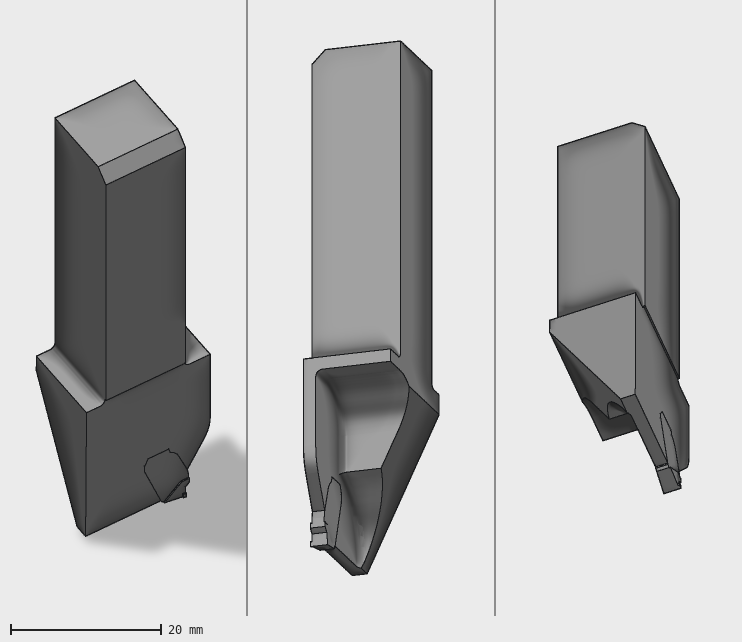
import cadquery as cq
import math


total_height = 69.85
shank_width = 12.5
shank_depth = 12.65
shank_chamfer = 1.9
shoulder_fillet = 0.85

head_width = 12.3
shoulder_z = 25.1
slant_top_z = 22.3
head_bottom_z = 1.05
slant_bottom_x = 10.2
front_top_y = -2.9
front_bottom_y = -3.1
back_y = 16.7
back_slope_z = 10.8
back_slope_end = (13.05, 4.75)
back_blend_radius = 7.0
nose_bottom_y = 8.95

floor_x = 10.55
pocket_fillet = 1.0
pocket_top_z = 23.3
pocket_side_y = 6.6
corner_radius = shank_depth - pocket_side_y
pocket_step_z = 12.15
lower_arc_end_y = -0.85
margin = 3.5

tip_overhang = 0.2
hinge_top = (12.0, 3.1)
hinge_bottom = (9.3, 0.55)
chip_face_rise = 0.3
corner_start_y = 12.15
corner_height = 0.7
insert_flank = [
    hinge_bottom,
    (8.95, 0.85),
    (6.3, 8.2),
    (6.3, 9.2),
    (6.85, 10.4),
    (10.1, 10.4),
    (10.35, 9.65),
    (11.0, 9.2),
    (11.5, 8.5),
    (13.05, 4.7),
    (13.3, 3.6),
]
insert_tip = [
    (13.3, hinge_top[1]),
    (13.3, 2.4),
    (shank_depth, 1.75),
    (shank_depth, 0.0),
]
tip_outline = [hinge_bottom, hinge_top] + insert_tip


def side_prism(points, start_x, end_x):
    """Extrude a closed (Y, Z) outline along X."""
    plane = cq.Workplane("YZ", origin=(start_x, 0, 0))
    return plane.polyline(points).close().extrude(end_x - start_x)


def make_shank():
    height = total_height - shoulder_z - shoulder_fillet
    shank = cq.Workplane("XY").box(shank_width, shank_depth, height, centered=False)
    shank = shank.translate((0, 0, shoulder_z + shoulder_fillet))
    return shank.edges(">X and >Z").chamfer(shank_chamfer)


def make_shoulder_blend():
    """Foot of the shank, flaring with a concave round on both sides."""
    top_z = shoulder_z + shoulder_fillet
    sag = shoulder_fillet * (1 - math.sqrt(0.5))
    return (
        cq.Workplane("YZ")
        .moveTo(-shoulder_fillet, shoulder_z)
        .threePointArc((-sag, shoulder_z + sag), (0, top_z))
        .lineTo(shank_depth, top_z)
        .threePointArc((shank_depth + sag, shoulder_z + sag), (shank_depth + shoulder_fillet, shoulder_z))
        .close()
        .extrude(head_width)
    )


def make_head_blank():
    """Head with a slightly drafted front face and one slanted side."""
    outline = [
        (front_top_y, shoulder_z),
        (front_bottom_y, head_bottom_z),
        (nose_bottom_y, head_bottom_z),
        back_slope_end,
        (back_y, back_slope_z),
        (back_y, shoulder_z),
    ]
    head = side_prism(outline, 0, head_width)
    back_corner = cq.selectors.NearestToPointSelector((head_width / 2, back_y, back_slope_z))
    head = head.edges(back_corner).fillet(back_blend_radius)
    slant = (
        cq.Workplane("XZ", origin=(0, back_y + margin, 0))
        .polyline([(0, slant_top_z), (slant_bottom_x, head_bottom_z), (0, head_bottom_z)])
        .close()
        .extrude(back_y - front_bottom_y + 2 * margin)
    )
    return head.cut(slant)


def make_pocket():
    """Relief pocket cutter with a round between its walls and floor."""
    corner_z = pocket_top_z - corner_radius
    side = pocket_side_y - lower_arc_end_y
    rise = pocket_step_z - head_bottom_z
    lower_radius = (side**2 + rise**2) / (2 * side)
    lower_center_y = lower_arc_end_y + lower_radius
    mid_angle = math.asin(rise / lower_radius) / 2
    lower_mid = (
        lower_center_y - lower_radius * math.cos(mid_angle),
        head_bottom_z + lower_radius * math.sin(mid_angle),
    )
    diagonal = corner_radius * math.sqrt(0.5)
    pocket = (
        cq.Workplane("YZ", origin=(-margin, 0, 0))
        .moveTo(back_y + margin, pocket_top_z)
        .lineTo(shank_depth, pocket_top_z)
        .threePointArc((shank_depth - diagonal, corner_z + diagonal), (pocket_side_y, corner_z))
        .lineTo(pocket_side_y, pocket_step_z)
        .threePointArc(lower_mid, (lower_arc_end_y, head_bottom_z))
        .lineTo(lower_arc_end_y, head_bottom_z - margin)
        .lineTo(back_y + margin, head_bottom_z - margin)
        .close()
        .extrude(floor_x + margin)
    )
    return pocket.faces(">X").edges().fillet(pocket_fillet)


def make_chip_face():
    """Thin wedge that starts at the hinge line and rises toward the cutting tip."""
    hinge_y = hinge_top[0] - hinge_bottom[0]
    hinge_z = hinge_top[1] - hinge_bottom[1]
    hinge_length = math.hypot(hinge_y, hinge_z)
    tip_y, tip_z = insert_tip[-1]
    reach = (hinge_z * (tip_y - hinge_bottom[0]) - hinge_y * (tip_z - hinge_bottom[1])) / hinge_length
    hinge_plane = cq.Plane(
        origin=(floor_x, *hinge_bottom),
        xDir=(0, hinge_z / hinge_length, -hinge_y / hinge_length),
        normal=(0, hinge_y / hinge_length, hinge_z / hinge_length),
    )
    wedge = (
        cq.Workplane(hinge_plane)
        .polyline([(0, 0), (2 * reach, 0), (2 * reach, 2 * chip_face_rise)])
        .close()
        .extrude(2 * hinge_length, both=True)
    )
    tip_prism = side_prism(tip_outline, floor_x - margin, floor_x + margin)
    return wedge.intersect(tip_prism)


def make_insert():
    insert = side_prism(insert_flank + insert_tip, floor_x, head_width)
    insert = insert.union(side_prism(tip_outline, floor_x, head_width + tip_overhang))
    corner_z = hinge_bottom[1] * (shank_depth - corner_start_y) / (shank_depth - hinge_bottom[0])
    corner_outline = [
        (shank_depth, 0),
        (shank_depth, corner_height),
        (corner_start_y, corner_height),
        (corner_start_y, corner_z),
    ]
    insert = insert.union(side_prism(corner_outline, floor_x, head_width + 2 * tip_overhang))
    return insert.union(make_chip_face())


def make_holder():
    holder = make_shank().union(make_shoulder_blend()).union(make_head_blank())
    holder = holder.cut(make_pocket())
    insert_slot = side_prism(insert_flank + insert_tip, floor_x, head_width)
    return holder.cut(insert_slot)


holder = make_holder()
insert = make_insert()

result = cq.Compound.makeCompound([holder.solids().val(), insert.solids().val()])